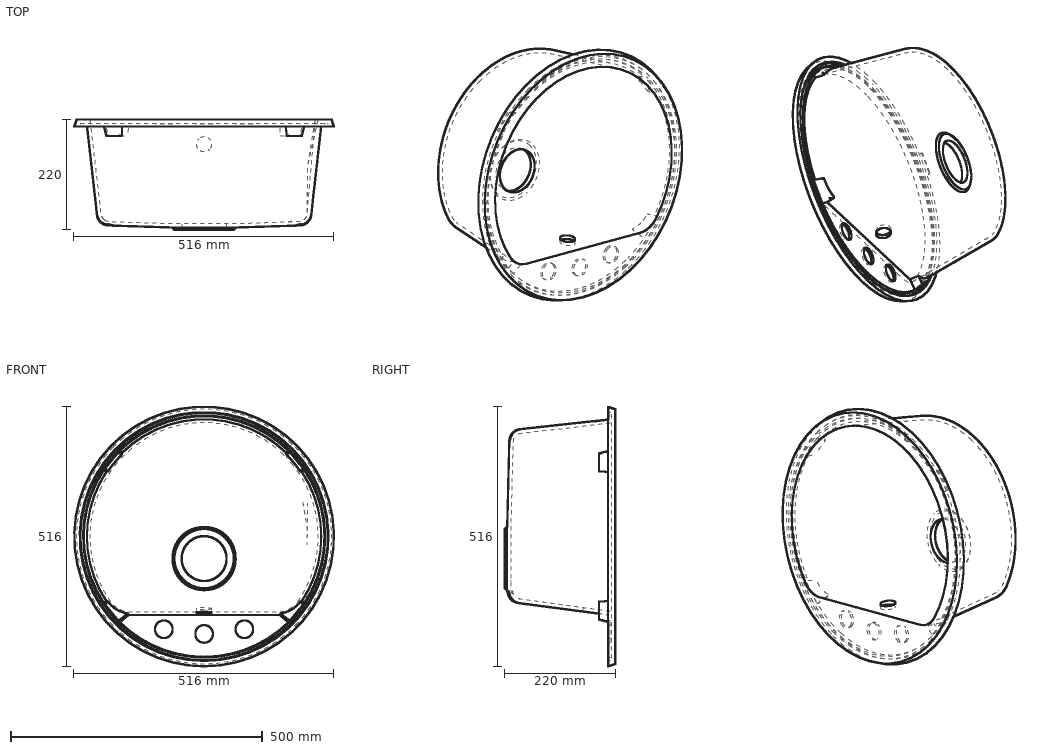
import cadquery as cq
import math


rim_radius = 258.0
rim_top_radius = 253.5
rim_thickness = 14.5
groove_outer_radius = 247.0
groove_inner_radius = 239.0
groove_draft = 1.5
groove_depth = 6.0

wall = 7.5
mouth_radius = 233.0
mouth_flat = 156.0
mouth_corner = 58.0
base_radius = 211.0
base_flat = 130.0
base_corner = 60.0
base_depth = 210.5
base_fillet = 25.0

drain_z = -44.0
drain_hole_radius = 44.5
collar_root_radius = 63.0
collar_end_radius = 59.0
dish_depth = 215.0
overall_depth = 220.0

overflow_radius = 15.0
overflow_depth = 49.5

tap_radius = 17.5
tap_recess = 5.0
tap_places = [(-80.0, -184.0), (0, -193.5), (80.0, -184.0)]

lug_angle = 39.5
lug_length = 49.5
lug_outer_radius = 238.0
lug_inner_radius = 211.5
lug_height = 18.5
lug_taper = 10
lug_round = 1.5

pick_margin = 0.05


def plane_at(depth, z=0.0):
    """Plane facing -Y at a depth, with local x along X and local y along Z."""
    return cq.Plane(origin=(0, -depth, z), xDir=(1, 0, 0), normal=(0, -1, 0))


def cone(start_depth, start_radius, end_depth, end_radius, z=0.0):
    """Round frustum along -Y between two depths."""
    height = end_depth - start_depth
    base = cq.Vector(0, -start_depth, z)
    return cq.Workplane(cq.Solid.makeCone(start_radius, end_radius, height, base, cq.Vector(0, -1, 0)))


def disc(start_depth, end_depth, radius, x=0.0, z=0.0):
    """Cylinder along -Y between two depths."""
    base = cq.Workplane(plane_at(start_depth, z)).center(x, 0)
    return base.circle(radius).extrude(end_depth - start_depth)


def ruled_loft(start, end):
    """Solid with straight sides between two wires."""
    return cq.Workplane(cq.Solid.makeLoft([start, end], True))


def polar(radius, angle):
    return (radius * math.cos(angle), radius * math.sin(angle))


def bowl_outline(radius, flat, corner, depth):
    """Circle cut by a flat on the -Z side, its two corners rounded."""
    corner_y = corner - flat
    corner_x = math.sqrt((radius - corner) ** 2 - corner_y**2)
    tangent_angle = math.atan2(corner_y, corner_x)
    tangent_x, tangent_y = polar(radius, tangent_angle)
    offset_x, offset_y = polar(corner, (tangent_angle - math.pi / 2) / 2)
    middle_x = corner_x + offset_x
    middle_y = corner_y + offset_y
    return (
        cq.Workplane(plane_at(depth))
        .moveTo(corner_x, -flat)
        .lineTo(-corner_x, -flat)
        .threePointArc((-middle_x, middle_y), (-tangent_x, tangent_y))
        .threePointArc((0, radius), (tangent_x, tangent_y))
        .threePointArc((middle_x, middle_y), (corner_x, -flat))
        .close()
        .val()
    )


def drain_ring(outline, depth):
    """Circle around the drain, split into arcs that face the edges of an outline."""
    angles = sorted(math.atan2(v.Z - drain_z, v.X) for v in outline.Vertices())
    ends = angles[1:] + [angles[0] + 2 * math.pi]
    ring = cq.Workplane(plane_at(depth, drain_z)).moveTo(*polar(collar_root_radius, angles[0]))
    for start, end in zip(angles, ends):
        middle = polar(collar_root_radius, (start + end) / 2)
        ring = ring.threePointArc(middle, polar(collar_root_radius, end))
    return ring.wire().val()


def bowl(inset, start_depth):
    """Tapered bowl with a rounded base and a floor dished to the drain, moved inwards by inset."""
    rise_share = (rim_thickness - start_depth) / (base_depth - rim_thickness)
    start_radius = mouth_radius + rise_share * (mouth_radius - base_radius)
    start_flat = mouth_flat + rise_share * (mouth_flat - base_flat)
    floor_depth = base_depth - inset
    mouth = bowl_outline(start_radius - inset, start_flat - inset, mouth_corner - inset, start_depth)
    base = bowl_outline(base_radius - inset, base_flat - inset, base_corner - inset, floor_depth)
    dish = ruled_loft(base, drain_ring(base, dish_depth - inset))
    floor_edges = cq.selectors.BoxSelector(
        (-rim_radius, -floor_depth - pick_margin, -rim_radius),
        (rim_radius, -floor_depth + pick_margin, rim_radius),
        boundingbox=True,
    )
    return ruled_loft(mouth, base).union(dish).edges(floor_edges).fillet(base_fillet - inset)


def lug(angle):
    """Tapered block under the rim, rounded at its outer and inner ends."""
    block = (
        cq.Workplane(plane_at(rim_thickness))
        .center((lug_outer_radius + lug_inner_radius) / 2, 0)
        .rect(lug_outer_radius - lug_inner_radius, lug_length)
        .extrude(lug_height, taper=lug_taper)
        .faces(">X or <X")
        .edges("not >Y")
        .fillet(lug_round)
    )
    return block.rotate((0, 0, 0), (0, 1, 0), angle)


groove_floor = rim_thickness - groove_depth
groove_outside = cone(groove_floor, groove_outer_radius - groove_draft, rim_thickness, groove_outer_radius)
groove_inside = cone(groove_floor, groove_inner_radius + groove_draft, rim_thickness, groove_inner_radius)
rim = cone(0, rim_top_radius, rim_thickness, rim_radius).cut(groove_outside.cut(groove_inside))

sink = rim.union(bowl(0, rim_thickness))
for angle in (lug_angle, -lug_angle, 180 - lug_angle, 180 + lug_angle):
    sink = sink.union(lug(angle))

collar_root = disc(dish_depth - wall, dish_depth, collar_root_radius, z=drain_z)
collar_end = cone(dish_depth, collar_root_radius, overall_depth, collar_end_radius, drain_z)
sink = sink.union(collar_root).union(collar_end)

sink = sink.cut(bowl(wall, 0))
sink = sink.cut(disc(0, overall_depth, drain_hole_radius, z=drain_z))

for x, z in tap_places:
    sink = sink.cut(disc(rim_thickness - tap_recess, rim_thickness, tap_radius, x, z))

overflow = cq.Workplane("XY").center(0, -overflow_depth).circle(overflow_radius).extrude(-mouth_flat)
result = sink.cut(overflow)